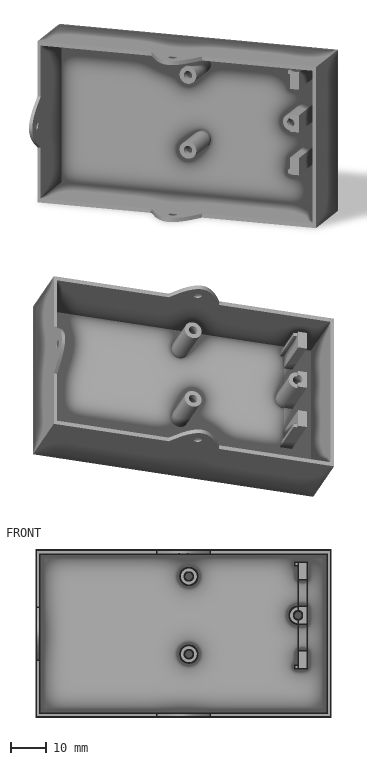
import cadquery as cq

length = 83.4
height = 47.4
total_depth = 26.7
ear_reach = 7.4
box_depth = total_depth - ear_reach
side_wall = 1.0
top_wall = 1.2
back_wall = 1.0
floor_y = box_depth - back_wall

ear_width = 15.0
ear_hole_diameter = 2.4
ear_hole_reach = 3.3
ear_root = 0.8
ear_end_slope = 1.75

post_diameter = 5.0
post_hole_diameter = 2.5
post_front_y = 5.4
post_x = 43.2
post_spacing = 22.0
mount_z = height / 2 + 5.2

bar_x = 74.15
bar_thickness = 2.6
bar_length = 30.2
strip_height = 0.5
block_length = post_diameter
block_front_y = 4.4
lip_width = 1.0
lip_length = 1.0


def box_between(x0, x1, y0, y1, z0, z1):
    return cq.Workplane("XY").box(x1 - x0, y1 - y0, z1 - z0, centered=False).translate((x0, y0, z0))


def ear(thickness):
    """Rounded ear in the XY plane, centred on X = 0, extruded up from Z = 0."""
    half = ear_width / 2
    shoulder = ear_reach * (1 - ear_end_slope / 3)
    outline = (
        cq.Workplane("XY")
        .moveTo(-half, 0)
        .bezier([(-half, 0), (-half * 2 / 3, -ear_reach + shoulder), (-half / 3, -ear_reach), (0, -ear_reach)])
        .bezier([(0, -ear_reach), (half / 3, -ear_reach), (half * 2 / 3, -ear_reach + shoulder), (half, 0)])
        .lineTo(half, ear_root)
        .lineTo(-half, ear_root)
        .close()
        .extrude(thickness)
    )
    hole = cq.Workplane("XY").center(0, -ear_hole_reach).circle(ear_hole_diameter / 2).extrude(thickness)
    return outline.cut(hole)


def rod(x, z, diameter, front_y, back_y):
    """Cylinder along Y."""
    plane = cq.Plane(origin=(x, front_y, z), xDir=(1, 0, 0), normal=(0, 1, 0))
    return cq.Workplane(plane).circle(diameter / 2).extrude(back_y - front_y)


shell = box_between(0, length, 0, box_depth, 0, height)
result = shell.cut(box_between(side_wall, length - side_wall, 0, floor_y, top_wall, height - top_wall))

result = result.union(ear(top_wall).translate((length / 2, 0, 0)))
result = result.union(ear(top_wall).translate((length / 2, 0, height - top_wall)))
left_ear = ear(side_wall).rotate((0, 0, 0), (0, 1, 0), 90)
result = result.union(left_ear.translate((0, 0, height / 2)))

bar_end_x = bar_x + bar_thickness
bar_bottom = mount_z - bar_length / 2
bar_top = mount_z + bar_length / 2
result = result.union(
    box_between(bar_x, bar_end_x, floor_y - strip_height, box_depth, bar_bottom, bar_top)
)
for block_bottom in (bar_bottom, mount_z - block_length / 2, bar_top - block_length):
    block_top = block_bottom + block_length
    result = result.union(
        box_between(bar_x, bar_end_x, block_front_y, box_depth, block_bottom, block_top)
    )

for lip_bottom in (bar_bottom, bar_top - lip_length):
    lip_top = lip_bottom + lip_length
    result = result.union(
        box_between(bar_x - lip_width, bar_x, post_front_y, box_depth, lip_bottom, lip_top)
    )

post_places = [
    (post_x, mount_z - post_spacing / 2),
    (post_x, mount_z + post_spacing / 2),
    (bar_x, mount_z),
]
for x, z in post_places:
    result = result.union(rod(x, z, post_diameter, post_front_y, box_depth))
for x, z in post_places:
    result = result.cut(rod(x, z, post_hole_diameter, 0, floor_y))